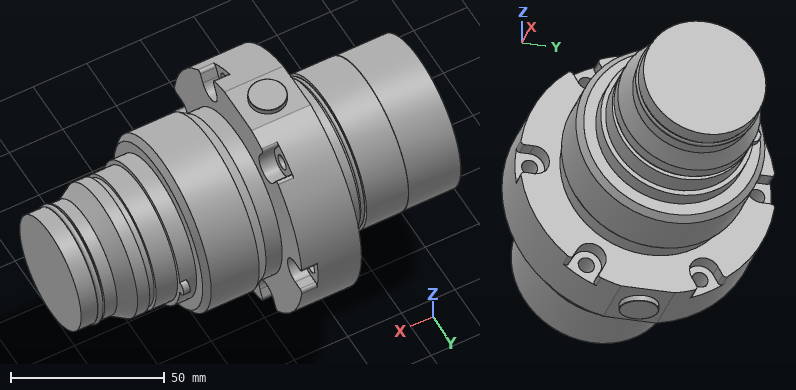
import cadquery as cq
import math

length = 138.0

left_end_radius = 55.5 / 2
left_seat_radius = 55.9 / 2
left_seat_start = 19.6
left_groove_radius = 53.5 / 2
left_groove_start = 35.3
left_groove_end = 37.8
left_ring_section_radius = 0.7
left_ring_center_radius = 26.6
left_ring_center_x = 36.2

flange_start = 45.8
flange_end = 67.9
flange_radius = 87.0 / 2
flange_mid = (flange_start + flange_end) / 2
flat_height = 42.5
button_height = 89.0 / 2
button_diameter = 13.0
button_chamfer = 0.1
face_seal_inner_radius = 29.7
face_seal_outer_radius = 31.5
face_seal_height = 0.4

bolt_count = 6
bolt_circle_radius = 38.5
bolt_hole_diameter = 5.4
recess_width = 10.2
recess_depth = 5.8
recess_mouth_radius = 1.17

neck_radius = 59.6 / 2
neck_end = 74.0
body_radius = 64.0 / 2
body_start = 77.7
body_end = 97.7
body_chamfer = 2.1
shoulder_radius = 51.8 / 2
shoulder_end = 103.9
key_radius = 5.4 / 2
key_length = 2.5
key_offset = 25.7

right_seat_radius = 48.5 / 2
right_groove_radius = 46.0 / 2
right_groove_start = 111.9
right_groove_end = 114.3
cone_start = 118.8
cone_end = 124.6
right_end_radius = 41.5 / 2
end_groove_radius = 39.2 / 2
end_groove_start = 129.2
end_groove_end = 131.7
end_ring_section_radius = 1.0
end_ring_center_x = 130.7
end_ring_center_radius = 20.4


def cylinder(start, end, radius, y=0.0, z=0.0):
    """Cylinder along X between two stations."""
    return cq.Workplane("YZ", origin=(start, y, z)).circle(radius).extrude(end - start)


def ring(x, center_radius, section_radius):
    """Round-section ring around the X axis."""
    section = cq.Workplane("XY").center(x, center_radius).circle(section_radius)
    return section.revolve(360, (0, -center_radius), (1, -center_radius))


def turned_body():
    """Spigots, neck and body as one revolved profile, without the flange."""
    profile = [
        (0, 0),
        (0, left_end_radius),
        (left_seat_start, left_end_radius),
        (left_seat_start, left_seat_radius),
        (left_groove_start, left_seat_radius),
        (left_groove_start, left_groove_radius),
        (left_groove_end, left_groove_radius),
        (left_groove_end, left_seat_radius),
        (flange_mid, left_seat_radius),
        (flange_mid, neck_radius),
        (neck_end, neck_radius),
        (body_start, body_radius),
        (body_end - body_chamfer, body_radius),
        (body_end, body_radius - body_chamfer),
        (body_end, shoulder_radius),
        (shoulder_end, shoulder_radius),
        (shoulder_end, right_seat_radius),
        (right_groove_start, right_seat_radius),
        (right_groove_start, right_groove_radius),
        (right_groove_end, right_groove_radius),
        (right_groove_end, right_seat_radius),
        (cone_start, right_seat_radius),
        (cone_end, right_end_radius),
        (end_groove_start, right_end_radius),
        (end_groove_start, end_groove_radius),
        (end_groove_end, end_groove_radius),
        (end_groove_end, right_end_radius),
        (length, right_end_radius),
        (length, 0),
    ]
    return cq.Workplane("XY").polyline(profile).close().revolve(360, (0, 0), (1, 0))


def bolt_recess():
    """Recess around the bolt hole on the +Y side, with a rounded mouth at the rim."""
    half_width = recess_width / 2
    arc_center_z = half_width + recess_mouth_radius
    arc_center_y = math.sqrt((flange_radius - recess_mouth_radius) ** 2 - arc_center_z ** 2)
    rim_scale = flange_radius / (flange_radius - recess_mouth_radius)
    rim_y = arc_center_y * rim_scale
    rim_z = arc_center_z * rim_scale
    rim_angle = math.atan2(arc_center_z, arc_center_y)
    middle_angle = (rim_angle - math.pi / 2) / 2
    middle_y = arc_center_y + recess_mouth_radius * math.cos(middle_angle)
    middle_z = arc_center_z + recess_mouth_radius * math.sin(middle_angle)
    outside_y = flange_radius + recess_mouth_radius
    outline = (
        cq.Workplane("YZ", origin=(flange_end - recess_depth, 0, 0))
        .moveTo(bolt_circle_radius, half_width)
        .lineTo(arc_center_y, half_width)
        .threePointArc((middle_y, middle_z), (rim_y, rim_z))
        .lineTo(outside_y, rim_z)
        .lineTo(outside_y, -rim_z)
        .lineTo(rim_y, -rim_z)
        .threePointArc((middle_y, -middle_z), (arc_center_y, -half_width))
        .lineTo(bolt_circle_radius, -half_width)
        .threePointArc((bolt_circle_radius - half_width, 0), (bolt_circle_radius, half_width))
        .close()
    )
    return outline.extrude(recess_depth)


def flange():
    """Flange with two flats, raised buttons, bolt holes and recesses."""
    disc = cylinder(flange_start, flange_end, flange_radius)
    flats = cq.Workplane("XY").box(2 * length, 2 * flange_radius, 2 * flat_height)
    disc = disc.intersect(flats)
    recess = bolt_recess()
    hole = cylinder(flange_start, flange_end, bolt_hole_diameter / 2, y=bolt_circle_radius)
    for index in range(bolt_count):
        angle = index * 360 / bolt_count
        disc = disc.cut(hole.union(recess).rotate((0, 0, 0), (1, 0, 0), angle))
    button = (
        cq.Workplane("XY", origin=(flange_mid, 0, flat_height))
        .circle(button_diameter / 2)
        .extrude(button_height - flat_height)
        .faces(">Z")
        .chamfer(button_chamfer)
    )
    return disc.union(button).union(button.mirror("XY"))


def face_seal():
    """Rounded bead standing on the left face of the flange."""
    bead_middle = (face_seal_inner_radius + face_seal_outer_radius) / 2
    return (
        cq.Workplane("XY")
        .moveTo(flange_mid, face_seal_inner_radius)
        .lineTo(flange_start, face_seal_inner_radius)
        .threePointArc(
            (flange_start - face_seal_height, bead_middle),
            (flange_start, face_seal_outer_radius),
        )
        .lineTo(flange_mid, face_seal_outer_radius)
        .close()
        .revolve(360, (0, 0), (1, 0))
    )


left_ring = ring(left_ring_center_x, left_ring_center_radius, left_ring_section_radius)
end_ring = ring(end_ring_center_x, end_ring_center_radius, end_ring_section_radius)
key = cylinder(shoulder_end - key_length, shoulder_end, key_radius, y=key_offset)

result = turned_body().union(flange()).union(face_seal()).union(key).union(left_ring).union(end_ring)